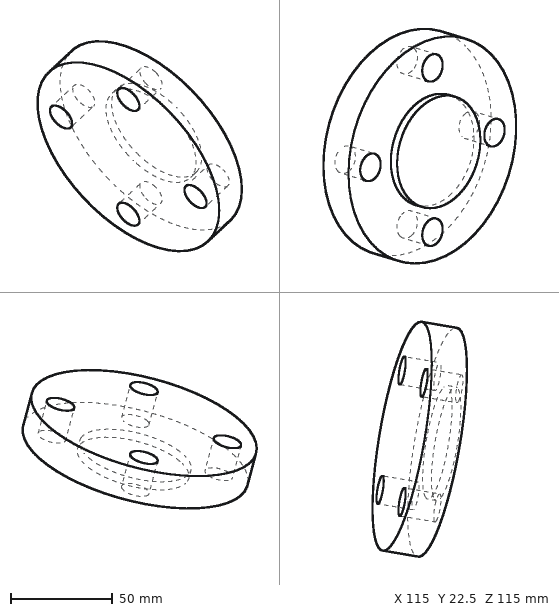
import cadquery as cq

flange_diameter = 115.0
total_thickness = 22.5
raised_face_height = 4.5
raised_face_diameter = 57.0
bolt_circle_diameter = 85.0
bolt_hole_diameter = 14.0
bolt_count = 4

flange_thickness = total_thickness - raised_face_height


def disc(diameter, start_y, thickness):
    """Round disc centred on the Y axis, growing toward +Y from start_y."""
    plane = cq.Workplane("XZ", origin=(0, start_y, 0))
    return plane.circle(diameter / 2).extrude(-thickness)


def bolt_holes():
    """Cylinders that pass through the flange, evenly spaced on the bolt circle."""
    return (
        cq.Workplane("XZ")
        .polarArray(bolt_circle_diameter / 2, 0, 360, bolt_count)
        .circle(bolt_hole_diameter / 2)
        .extrude(-flange_thickness)
    )


flange = disc(flange_diameter, 0, flange_thickness)
raised_face = disc(raised_face_diameter, flange_thickness, raised_face_height)

result = flange.union(raised_face).cut(bolt_holes())